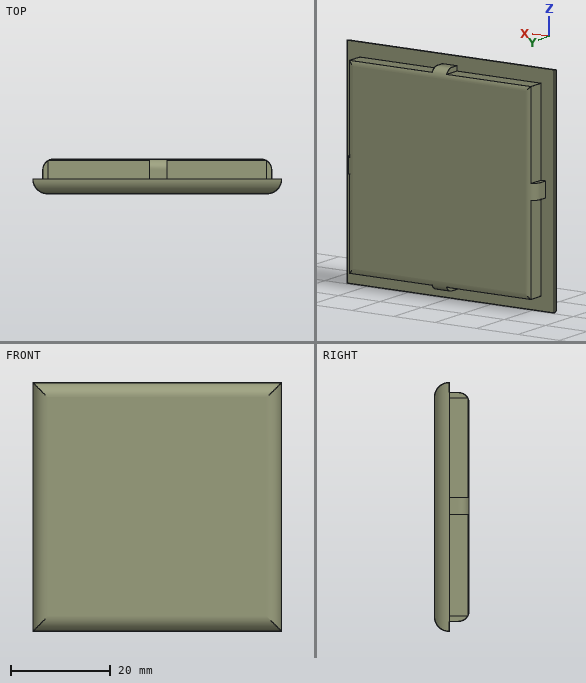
import cadquery as cq

plate_side = 50.0
plate_thickness = 3.0
plate_round = plate_thickness

total_depth = 7.0
block_depth = total_depth - plate_thickness
tab_inset = 2.0
tab_span = plate_side - 2 * tab_inset
rear_round = 2.15
tab_projection = 1.1
block_side = tab_span - 2 * tab_projection
tab_width = 3.5
tab_offset = 0.2

overlap = 0.5


def rounded_ridge_profile(plane, across, base, top, radius):
    """Rectangle, centred across, whose two top corners are quarter rounds."""
    half = across / 2
    return (
        cq.Workplane(plane)
        .moveTo(-half, base)
        .lineTo(half, base)
        .lineTo(half, top - radius)
        .radiusArc((half - radius, top), -radius)
        .lineTo(radius - half, top)
        .radiusArc((-half, top - radius), -radius)
        .close()
    )


def make_plate():
    """Intersect two rounded bars so that their edges meet in mitres."""
    profile = rounded_ridge_profile("XY", plate_side, -overlap, plate_thickness, plate_round)
    bar = profile.extrude(plate_side / 2, both=True)
    bar = bar.rotate((0, 0, 0), (0, 0, 1), 180)
    crossing_bar = bar.rotate((0, 0, 0), (0, 1, 0), 90)
    envelope = cq.Workplane("XY").box(plate_side, plate_thickness, plate_side)
    envelope = envelope.translate((0, -plate_thickness / 2, 0))
    return bar.intersect(crossing_bar).intersect(envelope)


def make_rear_bar(length):
    """Bar along Z with rounded rear edges, as wide as the tabs reach."""
    profile = rounded_ridge_profile("XY", tab_span, -overlap, block_depth, rear_round)
    return profile.extrude(length / 2, both=True)


def make_rear_block():
    upright = make_rear_bar(tab_span)
    level = upright.rotate((0, 0, 0), (0, 1, 0), 90)
    rear_depth = block_depth + overlap
    core = cq.Workplane("XY").box(block_side, rear_depth, block_side)
    core = core.translate((0, rear_depth / 2 - overlap, 0))
    block = core.intersect(upright).intersect(level)

    side_tabs = make_rear_bar(tab_width)
    end_tabs = side_tabs.rotate((0, 0, 0), (0, 1, 0), 90)
    block = block.union(side_tabs.translate((0, 0, tab_offset)))
    return block.union(end_tabs.translate((tab_offset, 0, 0)))


result = make_plate().union(make_rear_block())